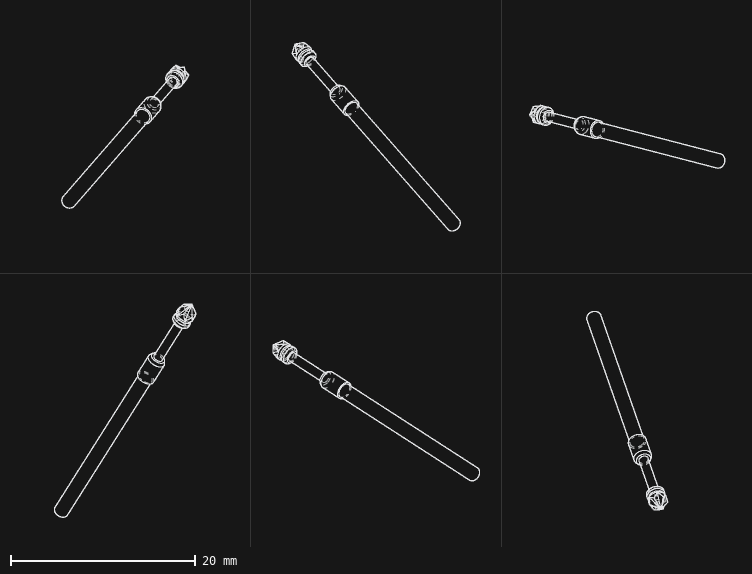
import cadquery as cq
import math

total_length = 32.3
head_radius = 1.0

groove_start = 1.78
groove_end = 2.35
groove_middle = (groove_start + groove_end) / 2
head_chamfer_start = 2.7
head_end = 3.0
collar_start = 8.3
collar_end = 11.35

groove_depth = 0.1
head_chamfer = head_end - head_chamfer_start
shaft_radius = 0.52
collar_radius = head_radius
collar_chamfer_length = 0.4
collar_chamfer_depth = 0.2
body_radius = 0.8
body_end_fillet = 0.4

ridge_count = 6
ridge_reach = 1.0
valley_reach = 1.68

tip_y = total_length / 2


def make_pin():
    """Turned pin: head with V groove, thin shaft, collar and rounded body."""
    stations = [
        (0, 0),
        (head_radius, 0),
        (head_radius, groove_start),
        (head_radius - groove_depth, groove_middle),
        (head_radius, groove_end),
        (head_radius, head_chamfer_start),
        (head_radius - head_chamfer, head_end),
        (shaft_radius, head_end),
        (shaft_radius, collar_start),
        (collar_radius - collar_chamfer_depth, collar_start),
        (collar_radius, collar_start + collar_chamfer_length),
        (collar_radius, collar_end),
        (body_radius, collar_end),
        (body_radius, total_length),
        (0, total_length),
    ]
    outline = [(radius, tip_y - distance) for radius, distance in stations]
    pin = cq.Workplane("XY").polyline(outline).close().revolve(360, (0, 0), (0, 1))
    return pin.faces("<Y").edges().fillet(body_end_fillet)


def make_star_point():
    """Pyramid with a star-shaped base, ending where the head's groove begins."""
    ridge_radius = head_radius * groove_start / ridge_reach
    valley_radius = head_radius * groove_start / valley_reach
    corner_count = 2 * ridge_count
    corners = []
    for index in range(corner_count):
        radius = valley_radius if index % 2 else ridge_radius
        angle = 2 * math.pi * index / corner_count
        corners.append(cq.Vector(radius * math.cos(angle), tip_y - groove_start, radius * math.sin(angle)))
    tip = cq.Vector(0, tip_y, 0)

    base = cq.Face.makeFromWires(cq.Wire.makePolygon(corners, close=True))
    faces = [base]
    for index in range(corner_count):
        side = [corners[index - 1], corners[index], tip]
        faces.append(cq.Face.makeFromWires(cq.Wire.makePolygon(side, close=True)))
    return cq.Workplane(cq.Solid.makeSolid(cq.Shell.makeShell(faces)))


def make_point_block():
    """Cylinder wider than the head, covering the length of the star-shaped point."""
    block_radius = 2 * head_radius
    return cq.Workplane("XZ", origin=(0, tip_y, 0)).circle(block_radius).extrude(groove_start)


waste = make_point_block().cut(make_star_point())
result = make_pin().cut(waste)